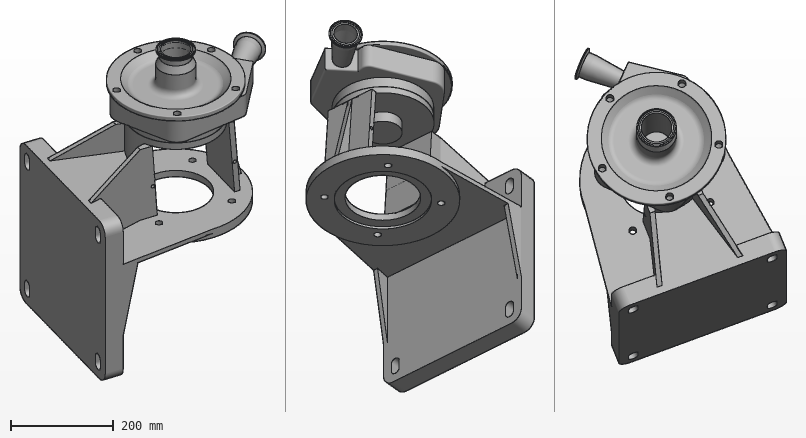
import cadquery as cq
import math


plate_width = 350.0
plate_height = 369.5
plate_thickness = 40.0
plate_corner_radius = 25.0
plate_front_y = -250.0
plate_back_y = plate_front_y + plate_thickness
slot_width = 20.0
slot_length = 36.0
slot_x = 145.0
slot_edge_distance = 36.0

shelf_top_z = 269.5
shelf_thickness = 10.0
pad_thickness = 20.5
pad_radius = 149.5
shelf_bore_radius = 73.5
spigot_recess_radius = 94.5
spigot_recess_depth = 5.5
shelf_bolt_circle_radius = 114.0
shelf_bolt_diameter = 14.5
shelf_bolt_count = 4
shelf_bolt_start_angle = 45.0
edge_rib_thickness = 10.0
edge_rib_tip_y = -175.5
edge_rib_foot_z = 101.5

lantern_radius = 99.5
lantern_bottom_z = 435.0
collar_seam_z = 450.0
collar_radius = 99.0
leg_half_width = 55.5
front_leg_top_y = -81.5
front_leg_bottom_y = -70.5
back_leg_top_y = 87.5
back_leg_bottom_y = 100.0
back_leg_thickness = 12.0
back_rib_thickness = 10.0
back_rib_foot_y = 142.5
pin_hole_diameter = 7.0
pin_hole_z = 340.0
front_pin_hole_y = -80.0
back_pin_hole_y = 101.0

gusset_angle = 15.0
gusset_thickness = 10.0
gusset_end_y = -235.0
gusset_start_y = -108.5

stub_radius = 37.5
stub_bottom_z = 412.0

casing_bottom_z = 473.0
casing_top_z = 524.0
casing_apothem = 115.0
casing_corner_angle = 45.0
casing_corner_count = 5
outlet_side_corners = 2
casing_large_fillet = 36.0
casing_small_fillet = 18.0
casing_bottom_fillet = 3.5

flange_radius = 135.0
flange_top_z = 534.0
flange_edge_fillet = 2.0
flange_bolt_circle_radius = 122.0
flange_bolt_diameter = 15.0
flange_bolt_depth = 18.0
drill_point_angle = 118.0
dish_floor_z = 518.5
dish_rim_radius = 107.5
dish_lip = 2.5
dish_wall_foot_radius = 93.0
dish_wall_foot_z = 521.5
dish_floor_radius = 83.0

inlet_top_z = 603.0
inlet_radius = 39.0
inlet_fillet = 14.5
inlet_shoulder_z = 568.5
inlet_neck_z = 585.0
inlet_neck_radius = 32.0
inlet_ferrule_radius = 38.5
inlet_bore_radius = 29.5
inlet_bore_bottom_z = 482.5
ferrule_rim = 2.5
ferrule_thickness = 5.5
ferrule_groove_radius = 1.5
ferrule_groove_inset = 4.0

outlet_angle = 135.0
outlet_axis_offset = 90.5
outlet_face_distance = 114.5
outlet_end_distance = 199.5
outlet_block_length = 123.0
outlet_root_radius = 18.5
outlet_neck_radius = 26.0
outlet_neck_length = 21.0
outlet_ferrule_radius = 32.5
outlet_wall = 3.0
outlet_length = outlet_end_distance - outlet_face_distance


def polar(radius, angle):
    """Plan point at a radius and an angle in degrees."""
    return radius * math.cos(math.radians(angle)), radius * math.sin(math.radians(angle))


def prism_along_x(points, half_width):
    """Prism with a (y, z) outline, centred on X = 0."""
    return cq.Workplane("YZ").polyline(points).close().extrude(half_width, both=True)


def disc(radius, bottom_z, top_z):
    return cq.Workplane("XY").workplane(offset=bottom_z).circle(radius).extrude(top_z - bottom_z)


def wall_plate():
    plate = (
        cq.Workplane("XY")
        .box(plate_width, plate_thickness, plate_height, centered=(True, False, False))
        .translate((0, plate_front_y, 0))
        .edges("|Y")
        .fillet(plate_corner_radius)
    )
    slot_centers = [
        (x, z)
        for x in (-slot_x, slot_x)
        for z in (slot_edge_distance, plate_height - slot_edge_distance)
    ]
    slots = (
        cq.Workplane("XZ", origin=(0, plate_back_y, 0))
        .pushPoints(slot_centers)
        .slot2D(slot_length, slot_width, 90)
        .extrude(plate_thickness)
    )
    return plate.cut(slots)


def shelf_outline(inset):
    """Tapered shelf outline, drawn in by an inset on each side."""
    wide = plate_width / 2 - inset
    narrow = pad_radius - inset
    return (
        cq.Workplane("XY")
        .moveTo(-wide, plate_back_y)
        .lineTo(wide, plate_back_y)
        .lineTo(narrow, 0)
        .threePointArc((0, narrow), (-narrow, 0))
        .close()
    )


def base_shelf():
    shelf = shelf_outline(0).extrude(shelf_thickness)
    shelf = shelf.translate((0, 0, shelf_top_z - shelf_thickness))
    pad_bottom_z = shelf_top_z - pad_thickness
    shelf = shelf.union(disc(pad_radius, pad_bottom_z, shelf_top_z))
    shelf = shelf.cut(disc(shelf_bore_radius, pad_bottom_z, shelf_top_z))
    shelf = shelf.cut(disc(spigot_recess_radius, pad_bottom_z, pad_bottom_z + spigot_recess_depth))
    bolt_holes = (
        cq.Workplane("XY")
        .workplane(offset=shelf_top_z)
        .polarArray(shelf_bolt_circle_radius, shelf_bolt_start_angle, 360, shelf_bolt_count)
        .circle(shelf_bolt_diameter / 2)
        .extrude(-pad_thickness)
    )
    return shelf.cut(bolt_holes)


def edge_ribs():
    """Triangular ribs below the shelf, flush with its tapered sides."""
    shelf_bottom_z = shelf_top_z - shelf_thickness
    wedge = prism_along_x(
        [
            (plate_back_y, edge_rib_foot_z),
            (plate_back_y, shelf_bottom_z),
            (edge_rib_tip_y, shelf_bottom_z),
        ],
        plate_width / 2,
    )
    inside = shelf_outline(edge_rib_thickness).extrude(shelf_top_z)
    side_strips = shelf_outline(0).extrude(shelf_top_z).cut(inside)
    return wedge.intersect(side_strips)


def gusset_x(y, inset=0):
    """Distance of a gusset face from the YZ plane, the face being moved in square to itself by an inset."""
    slope_angle = math.radians(gusset_angle)
    return leg_half_width + (gusset_start_y - y) * math.tan(slope_angle) - inset / math.cos(slope_angle)


def symmetric_prism(half_outline):
    """Upright prism whose plan is a half outline and its mirror image across the YZ plane."""
    mirrored = [(-x, y) for x, y in reversed(half_outline)]
    return cq.Workplane("XY").polyline(half_outline + mirrored).close().extrude(lantern_bottom_z)


def front_leg():
    """Front leg and its two gussets, joined to the wall plate by a solid block."""
    side = prism_along_x(
        [
            (front_leg_bottom_y, shelf_top_z),
            (front_leg_top_y, lantern_bottom_z),
            (gusset_start_y, lantern_bottom_z),
            (gusset_end_y, plate_height),
            (plate_back_y, plate_height),
            (plate_back_y, shelf_top_z),
        ],
        plate_width / 2,
    )
    plan = symmetric_prism(
        [
            (gusset_x(gusset_end_y), gusset_end_y),
            (leg_half_width, gusset_start_y),
            (leg_half_width, 0),
        ]
    )
    pocket = symmetric_prism(
        [
            (gusset_x(gusset_end_y, gusset_thickness), gusset_end_y),
            (gusset_x(0, gusset_thickness), 0),
        ]
    )
    pocket = pocket.cut(disc(plate_width, 0, plate_height))
    pocket = pocket.cut(disc(lantern_radius, plate_height, lantern_bottom_z))
    return plan.intersect(side).cut(pocket)


def back_leg():
    """Leaning flat leg with one rib behind it."""
    outer_top_y = back_leg_top_y + back_leg_thickness
    outer_bottom_y = back_leg_bottom_y + back_leg_thickness
    leg = prism_along_x(
        [
            (back_leg_bottom_y, shelf_top_z),
            (back_leg_top_y, lantern_bottom_z),
            (outer_top_y, lantern_bottom_z),
            (outer_bottom_y, shelf_top_z),
        ],
        leg_half_width,
    )
    rib = prism_along_x(
        [
            (back_leg_bottom_y, shelf_top_z),
            (back_leg_top_y, lantern_bottom_z),
            (outer_top_y, lantern_bottom_z),
            (back_rib_foot_y, shelf_top_z),
        ],
        back_rib_thickness / 2,
    )
    return leg.union(rib)


def pin_holes():
    return (
        cq.Workplane("YZ")
        .pushPoints([(front_pin_hole_y, pin_hole_z), (back_pin_hole_y, pin_hole_z)])
        .circle(pin_hole_diameter / 2)
        .extrude(plate_width, both=True)
    )


def outlet_point(across, along):
    """Plan point from its offset from the pump axis and its distance along the outlet direction."""
    across_x, across_y = polar(across, outlet_angle - 90)
    along_x, along_y = polar(along, outlet_angle)
    return across_x + along_x, across_y + along_y


def casing_prism(outline):
    """Upright prism over the full casing height."""
    plan = cq.Workplane("XY").workplane(offset=casing_bottom_z).polyline(outline).close()
    return plan.extrude(casing_top_z - casing_bottom_z)


def volute_casing():
    """Five-sided casing whose far side swells into the outlet block."""
    corner_radius = casing_apothem / math.cos(math.pi / casing_corner_count)
    pitch = 360 / casing_corner_count
    corners = [
        polar(corner_radius, casing_corner_angle + pitch * index)
        for index in range(casing_corner_count)
    ]
    casing = casing_prism(corners)

    block = [
        corners[0],
        outlet_point(outlet_block_length, outlet_face_distance),
        outlet_point(0, outlet_face_distance),
        (0, 0),
    ]
    casing = casing.union(casing_prism(block))
    for index, (x, y) in enumerate(corners):
        radius = casing_small_fillet if index < outlet_side_corners else casing_large_fillet
        corner_edge = cq.selectors.NearestToPointSelector((x, y, (casing_bottom_z + casing_top_z) / 2))
        casing = casing.edges("|Z").edges(corner_edge).fillet(radius)
    return casing.faces("<Z").edges().fillet(casing_bottom_fillet)


def dish():
    wall_top_radius = dish_rim_radius - dish_lip
    return (
        cq.Workplane("XZ")
        .moveTo(0, dish_floor_z)
        .lineTo(dish_floor_radius, dish_floor_z)
        .tangentArcPoint((dish_wall_foot_radius, dish_wall_foot_z), relative=False)
        .lineTo(wall_top_radius, flange_top_z - dish_lip)
        .lineTo(dish_rim_radius, flange_top_z)
        .lineTo(0, flange_top_z)
        .close()
        .revolve(axisStart=(0, 0, 0), axisEnd=(0, 1, 0))
    )


def inlet_spout():
    fillet_top_z = dish_floor_z + inlet_fillet
    return (
        cq.Workplane("XZ")
        .moveTo(0, dish_floor_z)
        .lineTo(inlet_radius + inlet_fillet, dish_floor_z)
        .radiusArc((inlet_radius, fillet_top_z), inlet_fillet)
        .lineTo(inlet_radius, inlet_shoulder_z)
        .lineTo(inlet_neck_radius, inlet_neck_z)
        .lineTo(inlet_neck_radius, inlet_top_z - ferrule_thickness)
        .lineTo(inlet_ferrule_radius, inlet_top_z - ferrule_rim)
        .lineTo(inlet_ferrule_radius, inlet_top_z)
        .lineTo(0, inlet_top_z)
        .close()
        .revolve(axisStart=(0, 0, 0), axisEnd=(0, 1, 0))
    )


def ferrule_groove(plane, ferrule_radius, end_distance):
    """Half-round gasket groove in a ferrule face; the plane's local Y axis is the ferrule axis."""
    return (
        cq.Workplane(plane)
        .moveTo(ferrule_radius - ferrule_groove_inset, end_distance)
        .circle(ferrule_groove_radius)
        .revolve(axisStart=(0, 0, 0), axisEnd=(0, 1, 0))
    )


def flange_bolt_holes():
    radius = flange_bolt_diameter / 2
    point_depth = radius / math.tan(math.radians(drill_point_angle / 2))
    drill = (
        cq.Workplane("XZ")
        .polyline([(0, 0), (radius, 0), (radius, -flange_bolt_depth), (0, -flange_bolt_depth - point_depth)])
        .close()
        .revolve(axisStart=(0, 0, 0), axisEnd=(0, 1, 0))
    )
    holes = cq.Workplane("XY")
    for index in range(casing_corner_count):
        x, y = polar(flange_bolt_circle_radius, casing_corner_angle + 360 / casing_corner_count * index)
        holes = holes.union(drill.translate((x, y, flange_top_z)))
    return holes


def outlet_plane():
    """Plane whose local Y axis runs along the nozzle axis, starting at the block face."""
    face_x, face_y = outlet_point(outlet_axis_offset, outlet_face_distance)
    along_x, along_y = polar(1, outlet_angle)
    middle_z = (casing_bottom_z + casing_top_z) / 2
    return cq.Plane(origin=(face_x, face_y, middle_z), xDir=(0, 0, 1), normal=(-along_y, along_x, 0))


def outlet_body(outline):
    """Solid turned about the nozzle axis from (radius, distance) points."""
    profile = cq.Workplane(outlet_plane()).polyline(outline).close()
    return profile.revolve(axisStart=(0, 0, 0), axisEnd=(0, 1, 0))


def outlet_nozzle():
    return outlet_body(
        [
            (0, 0),
            (outlet_root_radius, 0),
            (outlet_neck_radius, outlet_length - outlet_neck_length),
            (outlet_neck_radius, outlet_length - ferrule_thickness),
            (outlet_ferrule_radius, outlet_length - ferrule_rim),
            (outlet_ferrule_radius, outlet_length),
            (0, outlet_length),
        ]
    )


def outlet_bore():
    neck_bore_radius = outlet_neck_radius - outlet_wall
    return outlet_body(
        [
            (0, 0),
            (outlet_root_radius - outlet_wall, 0),
            (neck_bore_radius, outlet_length - outlet_neck_length),
            (neck_bore_radius, outlet_length),
            (0, outlet_length),
        ]
    )


bracket = wall_plate().union(base_shelf()).union(edge_ribs()).union(front_leg()).union(back_leg())
bracket = bracket.cut(pin_holes())

lantern_ring = disc(lantern_radius, lantern_bottom_z, collar_seam_z)
collar = disc(collar_radius, collar_seam_z, casing_bottom_z)
stub = disc(stub_radius, stub_bottom_z, lantern_bottom_z)

flange = disc(flange_radius, casing_top_z, flange_top_z).edges().fillet(flange_edge_fillet)
pump = volute_casing().union(flange).cut(dish()).cut(flange_bolt_holes())
pump = pump.union(inlet_spout()).union(outlet_nozzle())
pump = pump.cut(disc(inlet_bore_radius, inlet_bore_bottom_z, inlet_top_z)).cut(outlet_bore())
pump = pump.cut(ferrule_groove("XZ", inlet_ferrule_radius, inlet_top_z))
pump = pump.cut(ferrule_groove(outlet_plane(), outlet_ferrule_radius, outlet_length))

result = bracket.union(lantern_ring).union(collar).union(stub).union(pump)